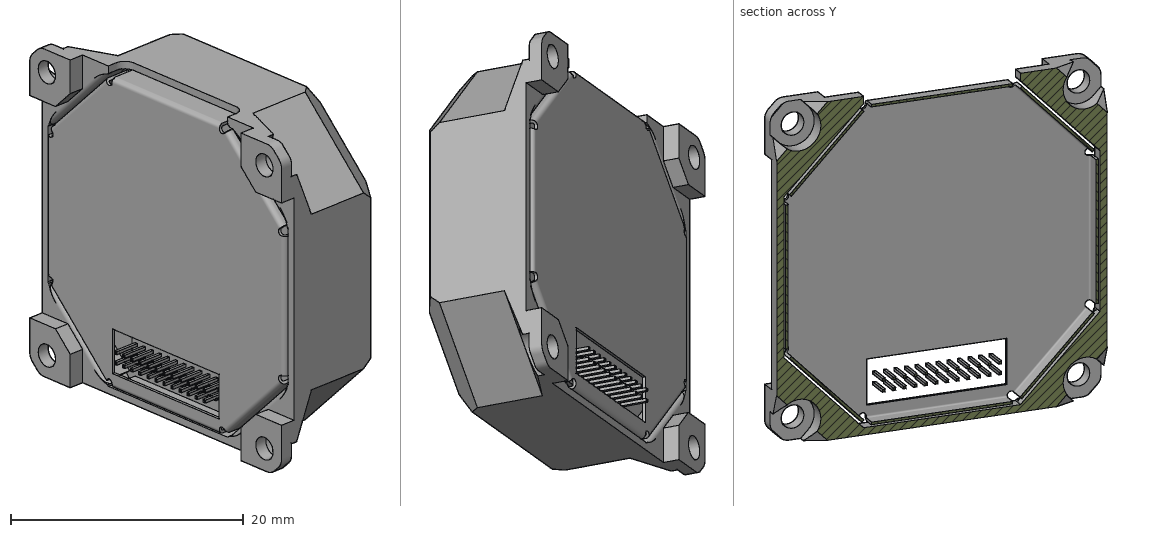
import cadquery as cq
import math

SIZE = 31.0
HALF = SIZE / 2
DEPTH = 11.6

RIM_Y = 1.5
FOOT_SIZE = 5.0
FOOT_BACK_Y = 1.2
FOOT_CORNER_CUT = 1.27
FOOT_CORNER_RADIUS = 1.195
CORNER_CUT = 7.2
CUT_END_Y = 3.6
SHOULDER_ANGLE = 30.0
BEVEL_SIDE = 1.5
BEVEL_DEPTH = 0.87
CORNER_BEVEL_DEPTH = 1.75
CORNER_BEVEL_ANGLE = 60.0
HOLE_DIAMETER = 2.1
HOLE_EDGE = 2.1
SCREW_CLEARANCE_RADIUS = 2.0

RECESS_INSET = 0.7
RECESS_CUT = 8.87
RECESS_FLOOR_Y = 4.0
FLARE_RADIUS = 0.5
FLARE_END_RADIUS = 3.4
NOTCH_RADIUS = 1.05
NOTCH_FLOOR_Y = 3.5

COVER_FACE_Y = 1.2
COVER_INSET = 0.85
COVER_CUT = 9.2
COVER_THICKNESS = 0.28
COVER_BEND_RADIUS = 0.43
RELIEF_DIAMETER = 0.68

WINDOW_WIDTH = 13.1
WINDOW_HEIGHT = 4.22
WINDOW_Z = -11.13

HEADER_Z = -11.2
HEADER_WIDTH = 12.0
HEADER_HEIGHT = 3.15
HEADER_FRONT_Y = 3.0
HEADER_BEVEL = 0.25
PIN_COLUMNS = 12
PIN_ROWS = 2
PIN_PITCH = 1.0
PIN_WIDTH = 0.28
PIN_TIP_Y = 0.45
PIN_TIP_BEVEL = 0.05
LEAD_SPAN = 4.15
LEAD_WIDTH = 0.3
LEAD_THICKNESS = 0.3

CORNERS = [(sx, sz) for sx in (-1, 1) for sz in (-1, 1)]


def box(width, y_front, y_back, height, x=0.0, z=0.0):
    """Box centred on (x, z), between two Y levels."""
    return (
        cq.Workplane("XY")
        .box(width, y_back - y_front, height)
        .translate((x, (y_front + y_back) / 2, z))
    )


def cylinder(radius, y_front, y_back, x, z):
    """Cylinder along Y, between two Y levels."""
    axis = cq.Vector(0, 1, 0)
    return cq.Workplane(cq.Solid.makeCylinder(radius, y_back - y_front, cq.Vector(x, y_front, z), axis))


def prism(points, y_front, y_back):
    """Prism along Y from an outline in (x, z)."""
    outline = cq.Workplane("XZ", origin=(0, y_front, 0)).polyline(points).close()
    return outline.extrude(y_front - y_back)


def octagon_points(inset, cut):
    """Corners of an octagon: straight sides inset from the square, diagonals at x + z distance `cut`."""
    side = HALF - inset
    end = HALF - (cut - inset)
    return [
        (end, side), (side, end), (side, -end), (end, -side),
        (-end, -side), (-side, -end), (-side, end), (-end, side),
    ]


def to_corner(shape, sx, sz):
    """Copy a shape made for the (+X, +Z) corner to the corner with these signs."""
    if sx < 0:
        shape = shape.mirror("YZ")
    if sz < 0:
        shape = shape.mirror("XY")
    return shape


def corner_removal():
    """Material removed behind the foot at the (+X, +Z) corner: cut, shoulder, bevel and screw clearance.

    The section lies in the plane through the corner edge and the middle axis; u is the distance
    from the corner, measured inward along the diagonal.
    """
    cut_u = CORNER_CUT / math.sqrt(2)
    shoulder_drop = cut_u * math.tan(math.radians(SHOULDER_ANGLE))
    bevel_u = cut_u + CORNER_BEVEL_DEPTH / math.tan(math.radians(CORNER_BEVEL_ANGLE))
    section = [
        (0, CUT_END_Y - shoulder_drop),
        (cut_u, CUT_END_Y),
        (cut_u, DEPTH - CORNER_BEVEL_DEPTH),
        (bevel_u, DEPTH),
        (0, DEPTH),
    ]
    inward = cq.Vector(-1, 0, -1)
    along = inward.cross(cq.Vector(0, 1, 0))
    plane = cq.Plane(origin=(HALF, 0, HALF), xDir=inward, normal=along)
    removal = cq.Workplane(plane).polyline(section).close().extrude(SIZE / 2, both=True)

    hole = HALF - HOLE_EDGE
    clearance = cylinder(SCREW_CLEARANCE_RADIUS, FOOT_BACK_Y, CUT_END_Y, hole, hole)
    open_side = (
        box(2 * SCREW_CLEARANCE_RADIUS, FOOT_BACK_Y, CUT_END_Y, SIZE / 2, z=SIZE / 4)
        .rotate((0, 0, 0), (0, 1, 0), 45)
        .translate((hole, 0, hole))
    )
    return removal.union(clearance).union(open_side)


def housing_block():
    """Square block with feet, and a bevel around the straight sides of the back."""
    half_section = [
        (-HALF, 0),
        (HALF, 0),
        (HALF, DEPTH - BEVEL_DEPTH),
        (HALF - BEVEL_SIDE, DEPTH),
        (BEVEL_SIDE - HALF, DEPTH),
        (-HALF, DEPTH - BEVEL_DEPTH),
    ]
    side_section = cq.Workplane("XY").polyline(half_section).close().extrude(HALF, both=True)
    block = side_section.intersect(side_section.rotate((0, 0, 0), (0, 1, 0), 90))

    gap = SIZE - 2 * FOOT_SIZE
    block = block.cut(box(gap, 0, RIM_Y, SIZE)).cut(box(SIZE, 0, RIM_Y, gap))
    return block


def foot_outline_tool():
    """Full-depth prism with the rounded corner cuts of the feet."""
    tool = prism(octagon_points(0, FOOT_CORNER_CUT), 0, FOOT_BACK_Y)
    return tool.edges("|Y").fillet(FOOT_CORNER_RADIUS)


def cover_recess():
    """Octagonal pocket with vertical walls."""
    return prism(octagon_points(RECESS_INSET, RECESS_CUT), 0, RECESS_FLOOR_Y)


def rim_flare():
    """Rounded lead-in of the recess along its four diagonals; it also trims the feet."""
    flare_cut = RECESS_CUT - FLARE_RADIUS * math.sqrt(2)
    flare_end_y = RIM_Y + FLARE_RADIUS
    flare = prism(octagon_points(RECESS_INSET, flare_cut), 0, flare_end_y)
    flare = flare.edges("|Y").fillet(FLARE_END_RADIUS)

    rod_centre = HALF - flare_cut / 2
    rod = (
        cq.Workplane("XY")
        .circle(FLARE_RADIUS)
        .extrude(HALF, both=True)
        .rotate((0, 0, 0), (0, 1, 0), -45)
        .translate((rod_centre, flare_end_y, rod_centre))
    )
    for sx, sz in CORNERS:
        flare = flare.cut(to_corner(rod, sx, sz))
    return flare


def top_notch():
    """Slot from the recess through the top side, with rounded floor corners."""
    end = RECESS_CUT - RECESS_INSET
    notch = box(SIZE - 2 * end, 0, NOTCH_FLOOR_Y, 2 * RECESS_INSET, z=HALF)
    return notch.edges("|Z and >Y").fillet(NOTCH_RADIUS)


def make_housing():
    housing = housing_block()
    for sx, sz in CORNERS:
        housing = housing.cut(to_corner(corner_removal(), sx, sz))
    foot_layer = box(SIZE, 0, FOOT_BACK_Y, SIZE)
    housing = housing.cut(foot_layer.cut(foot_outline_tool()))
    for sx, sz in CORNERS:
        hole = HALF - HOLE_EDGE
        housing = housing.cut(cylinder(HOLE_DIAMETER / 2, 0, CUT_END_Y, sx * hole, sz * hole))
    return housing.cut(cover_recess()).cut(rim_flare()).cut(top_notch())


def bent_octagon(inset, cut, y_front, bend_radius):
    """Octagonal block down to the recess floor, with its front edges rounded like a bend."""
    block = prism(octagon_points(inset, cut), y_front, RECESS_FLOOR_Y)
    return block.faces("<Y").edges().fillet(bend_radius)


def bend_relief(x, z, angle):
    """Hole at one corner of the cover, run out through the flanges on both sides of the corner.

    `angle` is the direction of the first flange, from +X towards +Z; the next one is 45 degrees less.
    """
    radius = RELIEF_DIAMETER / 2
    relief = cylinder(radius, 0, RECESS_FLOOR_Y, x, z)
    run_out = 2 * RELIEF_DIAMETER
    slot = box(run_out, 0, RECESS_FLOOR_Y, RELIEF_DIAMETER, x=run_out / 2)
    for direction in (angle, angle - 45):
        relief = relief.union(slot.rotate((0, 0, 0), (0, 1, 0), -direction).translate((x, 0, z)))
    return relief


def make_cover():
    """Sheet cap with eight bent flanges, relieved at the corners, and a window for the header."""
    cover = bent_octagon(COVER_INSET, COVER_CUT, COVER_FACE_Y, COVER_BEND_RADIUS)
    inside = bent_octagon(
        COVER_INSET + COVER_THICKNESS,
        COVER_CUT + COVER_THICKNESS * math.sqrt(2),
        COVER_FACE_Y + COVER_THICKNESS,
        COVER_BEND_RADIUS - COVER_THICKNESS,
    )
    cover = cover.cut(inside)

    face_inset = COVER_INSET + COVER_BEND_RADIUS
    face_cut = COVER_CUT + COVER_BEND_RADIUS * math.sqrt(2)
    for index, (x, z) in enumerate(octagon_points(face_inset, face_cut)):
        cover = cover.cut(bend_relief(x, z, 90 - 45 * index))
    return cover.cut(box(WINDOW_WIDTH, 0, RECESS_FLOOR_Y - COVER_THICKNESS, WINDOW_HEIGHT, z=WINDOW_Z))


def make_header():
    """Header base with two rows of pins and a row of solder leads along each long side."""
    header = box(HEADER_WIDTH, HEADER_FRONT_Y, RECESS_FLOOR_Y, HEADER_HEIGHT, z=HEADER_Z)
    header = header.faces("<Y").edges("|X").chamfer(HEADER_BEVEL)
    for column in range(PIN_COLUMNS):
        x = (column - (PIN_COLUMNS - 1) / 2) * PIN_PITCH
        lead = box(LEAD_WIDTH, RECESS_FLOOR_Y - LEAD_THICKNESS, RECESS_FLOOR_Y, LEAD_SPAN, x, HEADER_Z)
        header = header.union(lead)
        for row in range(PIN_ROWS):
            z = HEADER_Z + (row - (PIN_ROWS - 1) / 2) * PIN_PITCH
            pin = box(PIN_WIDTH, PIN_TIP_Y, RECESS_FLOOR_Y, PIN_WIDTH, x, z)
            header = header.union(pin.faces("<Y").chamfer(PIN_TIP_BEVEL))
    return header


housing = make_housing()
cover = make_cover()
header = make_header()

result = cq.Compound.makeCompound([housing.val(), cover.val(), header.val()])